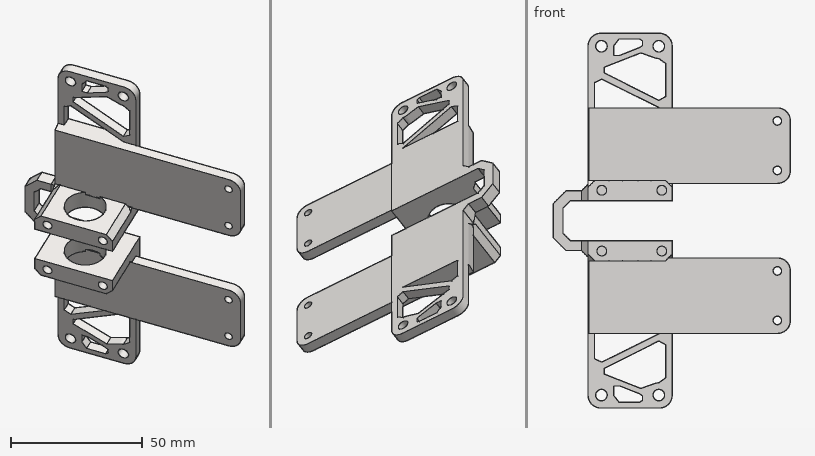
import cadquery as cq
import math


plate_width = 32.0
plate_top = 71.1
plate_thickness = 4.0
corner_radius = 5.0
plate_hole_diameter = 4.3
plate_hole_side_inset = 5.1
plate_hole_top_inset = 5.0
hole_boss_radius = 4.7
rim_width = 2.5
top_rim_width = 2.3

arm_bottom = 14.1
arm_top = 42.8
arm_end = 76.8
arm_thickness = 4.0
arm_front = plate_thickness + arm_thickness
arm_side_taper = 0.4
arm_hole_diameter = 3.1
arm_hole_inset = 5.0

slot_half_height = 7.5
clamp_top = 15.2
clamp_depth = 26.7
clamp_chamfer = 2.5
bore_diameter = 16.0
bore_x = plate_width / 2
bore_depth = 15.4
screw_hole_diameter = 3.7
screw_hole_left_inset = 5.3
screw_hole_right_inset = 4.0
screw_hole_z = 11.5
screw_hole_length = 14.2
gusset_size = 5.0

hook_reach = 13.2
hook_band = 3.8
hook_depth = 5.0
hook_chamfer = 5.0
flare = 2.4


def block(x_range, depth_range, z_range):
    """Box between X limits, depths behind-to-front, and Z limits."""
    width = x_range[1] - x_range[0]
    depth = depth_range[1] - depth_range[0]
    height = z_range[1] - z_range[0]
    corner = (x_range[0], -depth_range[1], z_range[0])
    return cq.Workplane("XY").box(width, depth, height, centered=False).translate(corner)


def front_sketch(depth=0.0):
    """XZ workplane at a given depth; extruding goes further to the front (-Y)."""
    return cq.Workplane("XZ", origin=(0, -depth, 0))


def truss_window():
    """Large window; its upper edge wraps round the boss of the right plate hole."""
    right = plate_width - rim_width
    hole_x = plate_width - plate_hole_side_inset
    hole_z = plate_top - plate_hole_top_inset
    peak_x, peak_z = 20.0, 63.6
    tip_x, tip_top, tip_bottom = 6.3, 58.2, 56.0
    right_top, right_bottom, lowest = 59.6, 47.1, 45.7

    distance = math.hypot(hole_x - peak_x, hole_z - peak_z)
    tangent_angle = math.atan2(hole_z - peak_z, hole_x - peak_x) - math.asin(hole_boss_radius / distance)
    touch_angle = tangent_angle - math.pi / 2
    middle_angle = (touch_angle - math.pi / 2) / 2

    def on_boss(angle):
        x = hole_x + hole_boss_radius * math.cos(angle)
        z = hole_z + hole_boss_radius * math.sin(angle)
        return (x, z)

    return (
        front_sketch()
        .moveTo(tip_x, tip_top)
        .lineTo(peak_x, peak_z)
        .lineTo(*on_boss(touch_angle))
        .threePointArc(on_boss(middle_angle), on_boss(-math.pi / 2))
        .lineTo(right, right_top)
        .lineTo(right, right_bottom)
        .lineTo(hole_x, lowest)
        .lineTo(tip_x, tip_bottom)
        .close()
        .extrude(plate_thickness)
    )


def corner_window():
    """Small window between the two plate holes."""
    top = plate_top - top_rim_width
    bottom = 62.7
    left, right = 9.8, 20.6
    corner_x = 19.6
    outline = [(11.8, top), (corner_x, top), (right, 68.1), (right, 66.4),
               (corner_x, 65.7), (12.1, bottom), (left, bottom), (left, 66.3)]
    return front_sketch().polyline(outline).close().extrude(plate_thickness)


def side_window():
    """Triangular window that ends level with the top of the arm."""
    left_top = 52.3
    peak_x, peak_z = 5.3, 53.6
    right_x = 27.0
    outline = [(rim_width, arm_top), (rim_width, left_top), (peak_x, peak_z), (right_x, arm_top)]
    return front_sketch().polyline(outline).close().extrude(plate_thickness)


def plate():
    body = block((0, plate_width), (0, plate_thickness), (slot_half_height, plate_top))
    body = body.edges("|Y and >Z").fillet(corner_radius)
    hole_z = plate_top - plate_hole_top_inset
    holes = (
        front_sketch()
        .pushPoints([(plate_hole_side_inset, hole_z), (plate_width - plate_hole_side_inset, hole_z)])
        .circle(plate_hole_diameter / 2)
        .extrude(plate_thickness)
    )
    return body.cut(holes).cut(truss_window()).cut(corner_window()).cut(side_window())


def arm():
    outline = [(0, -plate_thickness), (arm_end, -plate_thickness),
               (arm_end, -arm_front), (arm_side_taper, -arm_front)]
    base = cq.Workplane("XY", origin=(0, 0, arm_bottom))
    body = base.polyline(outline).close().extrude(arm_top - arm_bottom)
    body = body.edges("|Y and >X").fillet(corner_radius)
    hole_x = arm_end - arm_hole_inset
    holes = (
        front_sketch(plate_thickness)
        .pushPoints([(hole_x, arm_bottom + arm_hole_inset), (hole_x, arm_top - arm_hole_inset)])
        .circle(arm_hole_diameter / 2)
        .extrude(arm_thickness)
    )
    notch = block((0, clamp_chamfer), (plate_thickness, arm_front), (arm_bottom, clamp_top))
    return body.cut(holes).cut(notch)


def clamp():
    body = block((0, plate_width), (0, clamp_depth), (slot_half_height, clamp_top))
    return body.edges("|Y and >Z").chamfer(clamp_chamfer)


def gusset():
    """45 degree web in the corner above the clamp, across the plate width."""
    foot = clamp_top - clamp_chamfer
    outline = [(-plate_thickness, foot), (-plate_thickness - gusset_size, foot),
               (-plate_thickness, foot + gusset_size)]
    return cq.Workplane("YZ").polyline(outline).close().extrude(plate_width)


def bore():
    return (
        cq.Workplane("XY", origin=(bore_x, -bore_depth, slot_half_height))
        .circle(bore_diameter / 2)
        .extrude(clamp_top - slot_half_height)
    )


def screw_holes():
    centers = [(screw_hole_left_inset, screw_hole_z),
               (plate_width - screw_hole_right_inset, screw_hole_z)]
    return (
        front_sketch(clamp_depth - screw_hole_length)
        .pushPoints(centers)
        .circle(screw_hole_diameter / 2)
        .extrude(screw_hole_length)
    )


def hook():
    """Upper half of the hook, a band of constant thickness with a 45 degree bend."""
    top = slot_half_height + hook_band
    inner_chamfer = hook_chamfer - hook_band * (2 - math.sqrt(2))
    inner_x = -hook_reach + hook_band
    outline = [(0, top), (-hook_reach + hook_chamfer, top), (-hook_reach, top - hook_chamfer),
               (-hook_reach, 0), (inner_x, 0), (inner_x, slot_half_height - inner_chamfer),
               (inner_x + inner_chamfer, slot_half_height), (0, slot_half_height)]
    return front_sketch().polyline(outline).close().extrude(hook_depth)


def hook_flare():
    """Widening of the hook, upward and forward, where it meets the clamp."""
    start_height = hook_band
    end_height = hook_band + flare
    end_depth = hook_depth + flare
    return (
        cq.Workplane("YZ", origin=(-flare, 0, slot_half_height))
        .polyline([(0, 0), (-hook_depth, 0), (-hook_depth, start_height), (0, start_height)])
        .close()
        .workplane(offset=flare)
        .polyline([(0, 0), (-end_depth, 0), (-end_depth, end_height), (0, end_height)])
        .close()
        .loft(ruled=True)
    )


clamp_body = clamp().union(gusset()).cut(bore()).cut(screw_holes())
upper_half = plate().union(clamp_body).union(arm()).union(hook()).union(hook_flare())

result = upper_half.union(upper_half.mirror("XY")).clean()